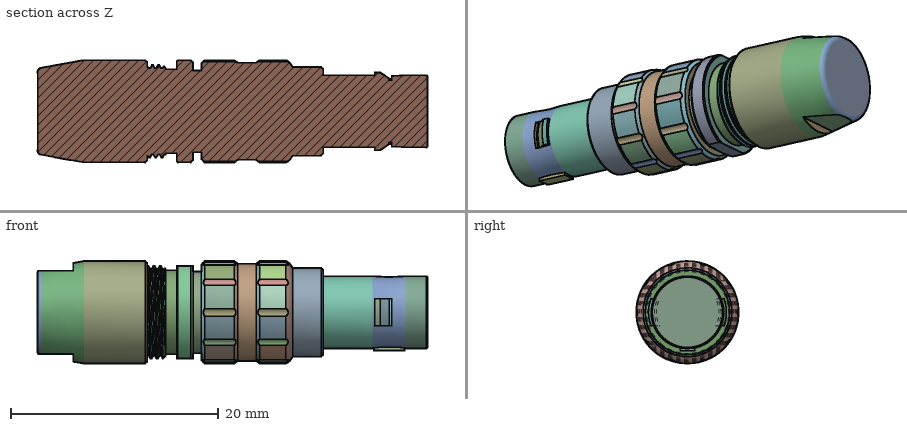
import cadquery as cq

length = 37.65
outer_radius = 4.95

clearance = 0.38

nose_radius = 4.15
nose_fillet = 0.5
taper_end = 4.48
nose_flat_length = 3.45
nose_flat_height = 4.03
nut_end = 10.6
nut_chamfer = 0.23

thread_radius = 4.48
thread_root_radius = 4.18
thread_pitch = 0.6
thread_turns = 5
thread_start = 9.75
thread_end = 12.4
thread_crest_width = 0.1
thread_foot_width = 0.53
thread_foot_depth = 0.08

rear_neck_radius = 4.05
front_neck_radius = 3.95
flange_start = 13.45
flange_end = 15.02
flange_rear_chamfer = 0.1
flange_front_chamfer = 0.23
flange_flat_height = 4.48

band_radius = 4.7
grip_bevel = 0.35
rear_grip_start = 15.8
rear_grip_shoulder = 18.98
band_start = 19.3
front_grip_start = 21.12
front_grip_shoulder = 24.0
shoulder_mid_x = 24.4
shoulder_mid_radius = 4.63
collar_start = 24.62
collar_radius = 4.3
collar_end = 27.6
collar_chamfer = 0.23
flute_count = 10
flute_radius = 0.6
flute_floor = 4.82

barrel_radius = 3.5
barrel_chamfer = 0.1
waist_start = 32.35
waist_end = 35.5
waist_depth = 0.08

latch_start = 32.53
latch_crest_end = 33.05
latch_ramp_end = 33.92
latch_window_end = 34.2
latch_radius = 3.75
latch_ramp_radius = 3.2
latch_floor = 3.0
latch_width = 2.65

key_start = 32.45
key_end = 35.43
key_height = 3.7
key_width = 1.43


def spin(profile):
    """Close a profile drawn in the XY plane and revolve it about the X axis."""
    return profile.close().revolve(360, (0, 0, 0), (1, 0, 0))


def slab(x_start, x_end, width_y, z_low, z_high):
    """Box between two X stations and two heights, centred on Y."""
    size = (x_end - x_start, width_y, z_high - z_low)
    return cq.Workplane("XY").box(*size, centered=(False, True, False)).translate((x_start, 0, z_low))


def cut_flats(body, x_start, x_end, flat_height):
    """Cut a pair of flats parallel to XY at plus and minus flat_height."""
    width = 2 * outer_radius
    upper = slab(x_start, x_end, width, flat_height, outer_radius + clearance)
    lower = slab(x_start, x_end, width, -outer_radius - clearance, -flat_height)
    return body.cut(upper).cut(lower)


def back_nut():
    """Nut with a rounded, tapered nose and two flats cut into the taper."""
    nut = spin(
        cq.Workplane("XY")
        .lineTo(0, nose_radius)
        .lineTo(taper_end, outer_radius)
        .lineTo(nut_end - nut_chamfer, outer_radius)
        .lineTo(nut_end, outer_radius - nut_chamfer)
        .lineTo(nut_end, 0)
    )
    nut = nut.faces("<X").edges().fillet(nose_fillet)
    return cut_flats(nut, 0, nose_flat_length, nose_flat_height)


def thread():
    """Right-hand ridge on a root cylinder, bevelled at its front end."""
    foot_radius = thread_root_radius - thread_foot_depth
    height = thread_pitch * thread_turns
    path = cq.Wire.makeHelix(thread_pitch, height, foot_radius)
    ridge = (
        cq.Workplane("XZ")
        .moveTo(foot_radius, -thread_foot_width / 2)
        .lineTo(thread_radius, -thread_crest_width / 2)
        .lineTo(thread_radius, thread_crest_width / 2)
        .lineTo(foot_radius, thread_foot_width / 2)
        .close()
        .sweep(cq.Workplane(path), isFrenet=True)
        .rotate((0, 0, 0), (0, 1, 0), 90)
        .translate((thread_start, 0, 0))
    )
    root = cq.Workplane("YZ", origin=(thread_start - thread_pitch, 0, 0)).circle(thread_root_radius)
    root = root.extrude(height + 2 * thread_pitch)
    rear = nut_end - thread_pitch / 2
    trim_radius = thread_radius + clearance
    bevel = trim_radius - thread_root_radius
    envelope = spin(
        cq.Workplane("XY")
        .moveTo(rear, 0)
        .lineTo(rear, trim_radius)
        .lineTo(thread_end - bevel, trim_radius)
        .lineTo(thread_end, thread_root_radius)
        .lineTo(thread_end, 0)
    )
    return root.union(ridge).intersect(envelope)


def flange_and_necks():
    """Flange with two flats between the rear and front necks."""
    body = spin(
        cq.Workplane("XY")
        .moveTo(nut_end, 0)
        .lineTo(nut_end, rear_neck_radius)
        .lineTo(flange_start, rear_neck_radius)
        .lineTo(flange_start, outer_radius - flange_rear_chamfer)
        .lineTo(flange_start + flange_rear_chamfer, outer_radius)
        .lineTo(flange_end - flange_front_chamfer, outer_radius)
        .lineTo(flange_end, outer_radius - flange_front_chamfer)
        .lineTo(flange_end, front_neck_radius)
        .lineTo(rear_grip_start, front_neck_radius)
        .lineTo(rear_grip_start, 0)
    )
    return cut_flats(body, flange_start, flange_end, flange_flat_height)


def sleeve():
    """Two fluted grips, the band between them and the collar in front."""
    body = spin(
        cq.Workplane("XY")
        .moveTo(rear_grip_start, 0)
        .lineTo(rear_grip_start, outer_radius - grip_bevel)
        .lineTo(rear_grip_start + grip_bevel, outer_radius)
        .lineTo(rear_grip_shoulder, outer_radius)
        .lineTo(band_start, band_radius)
        .lineTo(front_grip_start, band_radius)
        .lineTo(front_grip_start + grip_bevel, outer_radius)
        .lineTo(front_grip_shoulder, outer_radius)
        .threePointArc((shoulder_mid_x, shoulder_mid_radius), (collar_start, collar_radius))
        .lineTo(collar_end - collar_chamfer, collar_radius)
        .lineTo(collar_end, collar_radius - collar_chamfer)
        .lineTo(collar_end, 0)
    )
    flutes = (
        cq.Workplane("YZ", origin=(rear_grip_start, 0, 0))
        .polarArray(flute_floor + flute_radius, 0, 360, flute_count)
        .circle(flute_radius)
        .extrude(collar_start - rear_grip_start)
    )
    return body.cut(flutes)


def barrel():
    """Plain plug barrel with a shallow concave waist near its tip."""
    waist_middle = (waist_start + waist_end) / 2
    return spin(
        cq.Workplane("XY")
        .moveTo(collar_end, 0)
        .lineTo(collar_end, barrel_radius)
        .lineTo(waist_start, barrel_radius)
        .threePointArc((waist_middle, barrel_radius - waist_depth), (waist_end, barrel_radius))
        .lineTo(length - barrel_chamfer, barrel_radius)
        .lineTo(length, barrel_radius - barrel_chamfer)
        .lineTo(length, 0)
    )


def add_latches(body):
    """Sink a window on each Y side and fill it with a ramped latch tooth."""
    reach = 2 * (latch_radius + clearance)
    half_width = latch_width / 2
    window = slab(latch_start, latch_window_end, reach, -half_width, half_width)
    core = cq.Workplane("YZ", origin=(latch_start, 0, 0)).circle(latch_floor)
    core = core.extrude(latch_window_end - latch_start)
    tooth = spin(
        cq.Workplane("XY")
        .moveTo(latch_start, 0)
        .lineTo(latch_start, latch_radius)
        .lineTo(latch_crest_end, latch_radius)
        .lineTo(latch_ramp_end, latch_ramp_radius)
        .lineTo(latch_ramp_end, 0)
    )
    return body.cut(window.cut(core)).union(tooth.intersect(window))


def key():
    """Straight rib along the underside of the barrel."""
    return slab(key_start, key_end, key_width, -key_height, 0)


result = (
    back_nut()
    .union(thread())
    .union(flange_and_necks())
    .union(sleeve())
    .union(add_latches(barrel()).union(key()))
)